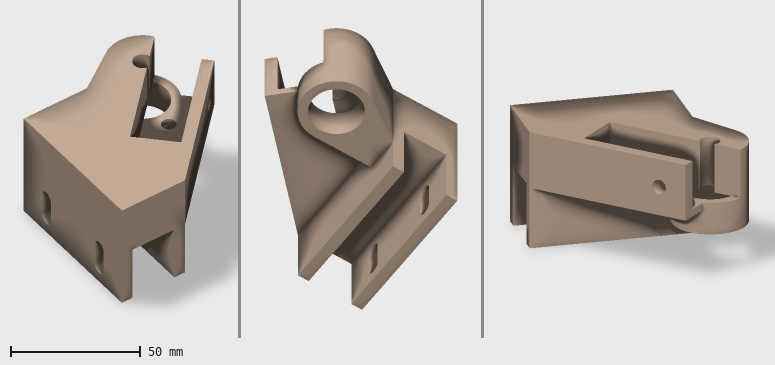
import cadquery as cq
import math

total_width = 79.95
boss_diameter = 30.0
boss_radius = boss_diameter / 2
base_width = total_width - boss_radius
base_back = -26.5
base_depth = 30.0
base_front = base_back - base_depth
total_height = 48.0
boss_height = 32.95

leg_thickness = 5.0
plate_thickness = 23.0

pocket_angle = -45
arm_end = -4.95
pocket_end = 43.4
pocket_near = 2.2
pocket_width = 20.0
pocket_far = pocket_near + pocket_width
pocket_depth = 20.0

bore_diameter = 22.0
pin_diameter = 8.0
screw_diameter = 6.0
floor_screw_x = 17.3
wall_screw_along = 6.9
wall_screw_depth = 11.4

slot_width = 6.0
slot_length = 16.0
slot_edge_distance = 15.0
slot_center_z = -35.5

overlap = 0.8


def turned(along, across):
    """Convert a position in the turned pocket directions to X and Y."""
    angle = math.radians(pocket_angle)
    x = along * math.cos(angle) - across * math.sin(angle)
    y = along * math.sin(angle) + across * math.cos(angle)
    return x, y


def cylinder(diameter, top, bottom, center=(0, 0)):
    return cq.Workplane("XY", origin=(*center, bottom)).circle(diameter / 2).extrude(top - bottom)


def prism(points, height):
    return cq.Workplane("XY").polyline(points).close().extrude(-height)


tangent_angle = -math.pi / 2 - math.acos(boss_radius / -base_back)
tangent_point = (boss_radius * math.cos(tangent_angle), boss_radius * math.sin(tangent_angle))


def make_body():
    outer_across = (base_width + base_back) / math.sqrt(2)
    plate = prism(
        [
            (0, base_front),
            (base_width, base_front),
            (base_width, base_back),
            turned(arm_end, outer_across),
            turned(arm_end, 0),
            (0, 0),
        ],
        plate_thickness,
    )
    base = prism(
        [(0, base_front), (base_width, base_front), (base_width, base_back), (0, base_back)],
        total_height,
    )
    web = prism(
        [(0, 0), tangent_point, (0, base_back), (boss_radius, base_back), (boss_radius, 0)],
        boss_height,
    )
    boss = cylinder(boss_diameter, 0, -boss_height)
    return plate.union(base).union(web).union(boss)


def make_leg_channel():
    channel_width = base_depth - 2 * leg_thickness
    return (
        cq.Workplane("XY", origin=(0, base_front + leg_thickness, -total_height))
        .rect(base_width, channel_width, centered=False)
        .extrude(total_height - plate_thickness)
    )


def make_pocket():
    open_end = -boss_radius - overlap
    return prism(
        [
            turned(open_end, pocket_near),
            turned(pocket_end, pocket_near),
            turned(pocket_end, pocket_far),
            turned(open_end, pocket_far),
        ],
        pocket_depth,
    )


def make_wall_screw_hole():
    start = turned(wall_screw_along, pocket_far - overlap)
    direction = turned(0, 1)
    return cq.Workplane(
        cq.Solid.makeCylinder(
            screw_diameter / 2,
            pocket_far,
            cq.Vector(*start, -wall_screw_depth),
            cq.Vector(*direction, 0),
        )
    )


def make_leg_slots():
    return (
        cq.Workplane("XZ", origin=(0, base_front, slot_center_z))
        .pushPoints([(slot_edge_distance, 0), (base_width - slot_edge_distance, 0)])
        .slot2D(slot_length, slot_width, 90)
        .extrude(-(leg_thickness + overlap))
    )


result = make_body()
result = result.cut(make_leg_channel())
result = result.cut(make_pocket())

result = result.cut(cylinder(bore_diameter, -pocket_depth, -boss_height))
result = result.cut(cylinder(pin_diameter, 0, -boss_height))

result = result.cut(cylinder(screw_diameter, 0, -plate_thickness, (floor_screw_x, 0)))
result = result.cut(make_wall_screw_hole())
result = result.cut(make_leg_slots())